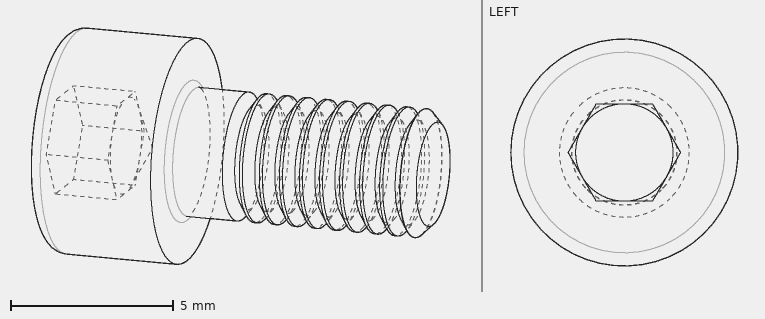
import cadquery as cq
import math

total_length = 12.0
head_diameter = 7.0
shank_diameter = 4.0
head_length = total_length / 3
head_edge_radius = 0.41
neck_fillet_radius = 0.2

groove_count = 9
groove_width = 0.55
groove_depth = 0.37
first_groove_center = 6.1
last_groove_center = 11.32
groove_pitch = (last_groove_center - first_groove_center) / (groove_count - 1)
tip_chamfer_length = 0.4
tip_chamfer_depth = 0.38

socket_across_flats = 3.0
socket_depth = 2.0
drill_point_angle = 120.0

head_radius = head_diameter / 2
shank_radius = shank_diameter / 2


def make_head():
    head = cq.Workplane("YZ").circle(head_radius).extrude(head_length)
    return head.faces("<X").edges().fillet(head_edge_radius)


def make_shank():
    """Revolve the shank with its neck fillet, thread grooves and chamfered tip."""
    neck_end = head_length + neck_fillet_radius
    arc_offset = neck_fillet_radius * (1 - math.sqrt(0.5))
    profile = (
        cq.Workplane("XY")
        .moveTo(head_length, 0)
        .lineTo(head_length, shank_radius + neck_fillet_radius)
        .threePointArc(
            (head_length + arc_offset, shank_radius + arc_offset),
            (neck_end, shank_radius),
        )
    )
    for index in range(groove_count):
        center = first_groove_center + index * groove_pitch
        profile = (
            profile
            .lineTo(center - groove_width / 2, shank_radius)
            .lineTo(center, shank_radius - groove_depth)
            .lineTo(center + groove_width / 2, shank_radius)
        )
    profile = (
        profile
        .lineTo(total_length - tip_chamfer_length, shank_radius)
        .lineTo(total_length, shank_radius - tip_chamfer_depth)
        .lineTo(total_length, 0)
        .close()
    )
    return profile.revolve(360, (0, 0, 0), (1, 0, 0))


def make_socket():
    """Hexagon with two flats facing +Z and -Z, plus the cone at its bottom."""
    across_corners = socket_across_flats / math.cos(math.pi / 6)
    hexagon = cq.Workplane("YZ").polygon(6, across_corners).extrude(socket_depth)
    cone_radius = socket_across_flats / 2
    cone_depth = cone_radius / math.tan(math.radians(drill_point_angle / 2))
    cone = cq.Workplane(
        cq.Solid.makeCone(
            cone_radius, 0, cone_depth,
            pnt=cq.Vector(socket_depth, 0, 0), dir=cq.Vector(1, 0, 0),
        )
    )
    return hexagon.union(cone)


result = make_head().union(make_shank()).cut(make_socket())